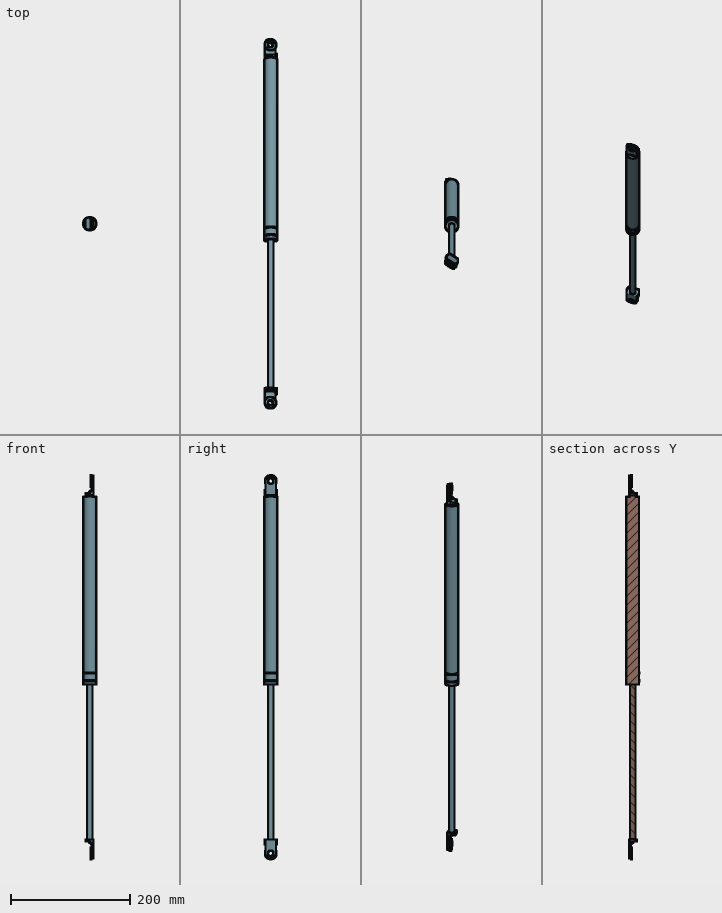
import cadquery as cq

eye_spacing = 625.0
eye_to_foot = 23.5

cylinder_diameter = 22.5
cylinder_radius = cylinder_diameter / 2
cylinder_top = 598.8
cylinder_bottom = 283.2
cylinder_chamfer_height = 2.0
cylinder_chamfer_depth = 0.4
groove_heights = (289.8, 303.0)
groove_width = 2.0
groove_depth = 0.4
rod_diameter = 10.0
rod_bottom = eye_to_foot
spigot_top = eye_spacing - eye_to_foot

plate_thickness = 3.8
plate_outer_x = 6.6
plate_inner_x = plate_outer_x - plate_thickness
plate_width = 18.0
foot_edge_x = -7.2
foot_radius = 10.9
bend_outer_radius = 1.0
gusset_leg = 5.0
gusset_width = 3.5
foot_side_height = plate_thickness + gusset_leg

ring_diameter = 20.0
ring_thickness = 1.8
eye_bore_diameter = 9.0


def make_cylinder():
    half_profile = (
        cq.Workplane("XZ")
        .moveTo(0, cylinder_bottom)
        .lineTo(cylinder_radius - cylinder_chamfer_depth, cylinder_bottom)
        .lineTo(cylinder_radius, cylinder_bottom + cylinder_chamfer_height)
        .lineTo(cylinder_radius, cylinder_top - cylinder_chamfer_height)
        .lineTo(cylinder_radius - cylinder_chamfer_depth, cylinder_top)
        .lineTo(rod_diameter / 2, cylinder_top)
        .lineTo(rod_diameter / 2, spigot_top)
        .lineTo(0, spigot_top)
        .close()
    )
    body = half_profile.revolve(360, (0, 0), (0, 1))
    for height in groove_heights:
        groove = (
            cq.Workplane("XY")
            .workplane(offset=height - groove_width / 2)
            .circle(cylinder_diameter)
            .circle(cylinder_radius - groove_depth)
            .extrude(groove_width)
        )
        body = body.cut(groove)
    return body


def make_rod():
    return (
        cq.Workplane("XY")
        .workplane(offset=rod_bottom)
        .circle(rod_diameter / 2)
        .extrude(cylinder_bottom - rod_bottom)
    )


def bent_strip(width):
    """L-shaped strip with its foot on Z = 0 and its upright ending at the eye centre."""
    return (
        cq.Workplane("XZ")
        .moveTo(foot_edge_x, 0)
        .lineTo(plate_outer_x - bend_outer_radius, 0)
        .radiusArc((plate_outer_x, bend_outer_radius), -bend_outer_radius)
        .lineTo(plate_outer_x, eye_to_foot)
        .lineTo(plate_inner_x, eye_to_foot)
        .lineTo(plate_inner_x, plate_thickness)
        .lineTo(foot_edge_x, plate_thickness)
        .close()
        .extrude(width / 2, both=True)
    )


def make_gusset(side):
    """Three-sided wedge in the inner corner of the bend, at the +Y (1) or -Y (-1) edge."""
    outer_y = side * foot_radius
    corner = cq.Vector(plate_inner_x, outer_y, plate_thickness)
    on_foot = cq.Vector(plate_inner_x - gusset_leg, outer_y, plate_thickness)
    on_plate = cq.Vector(plate_inner_x, outer_y, plate_thickness + gusset_leg)
    inward = cq.Vector(plate_inner_x, outer_y - side * gusset_width, plate_thickness)
    triangles = (
        (corner, on_foot, on_plate),
        (corner, on_foot, inward),
        (corner, on_plate, inward),
        (on_foot, on_plate, inward),
    )
    faces = [cq.Face.makeFromWires(cq.Wire.makePolygon(points, close=True)) for points in triangles]
    return cq.Workplane(obj=cq.Solid.makeSolid(cq.Shell.makeShell(faces)))


def make_bracket():
    foot_limit = cq.Workplane("XY").circle(foot_radius).extrude(foot_side_height)
    upright_limit = (
        cq.Workplane("XY")
        .workplane(offset=foot_side_height)
        .rect(2 * cylinder_diameter, plate_width)
        .extrude(eye_to_foot)
    )
    foot = bent_strip(2 * foot_radius)
    for side in (-1, 1):
        foot = foot.union(make_gusset(side))
    foot = foot.intersect(foot_limit)
    upright = bent_strip(plate_width).intersect(upright_limit)
    eye_plane = cq.Workplane("YZ", origin=(plate_inner_x, 0, eye_to_foot))
    eye_end = eye_plane.circle(plate_width / 2).extrude(plate_thickness)
    bore = eye_plane.circle(eye_bore_diameter / 2).extrude(plate_thickness)
    return foot.union(upright).union(eye_end).cut(bore)


def make_ring():
    return (
        cq.Workplane("YZ", origin=(plate_inner_x - ring_thickness, 0, eye_to_foot))
        .circle(ring_diameter / 2)
        .circle(eye_bore_diameter / 2)
        .extrude(ring_thickness)
    )


def place_at_top(body):
    return body.translate((0, 0, spigot_top))


def place_at_bottom(body):
    return body.mirror("XY").translate((0, 0, rod_bottom))


cylinder = make_cylinder()
rod = make_rod()
end_bodies = []
for place in (place_at_top, place_at_bottom):
    bracket = place(make_bracket())
    ring = place(make_ring())
    end_bodies += [bracket.val(), ring.val()]

result = cq.Compound.makeCompound([cylinder.val(), rod.val(), *end_bodies])